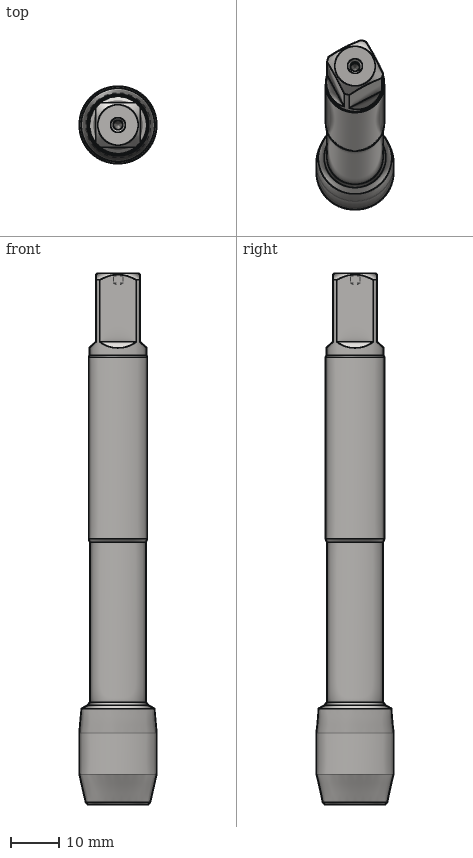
import cadquery as cq

length = 110.0

head_dia = 16.1
head_tip_dia = 13.4
head_top_dia = 15.2
head_height = 20.6
head_chamfer_bottom = 19.9
head_face_dia = 12.8
taper_height = 6.4
shoulder_height = 15.0
tip_chamfer = 0.5

neck_dia = 11.7
flare_height = 0.7

grip_dia = 12.2
grip_bottom = 54.3
grip_top = 93.0
grip_bottom_chamfer = 0.7
grip_top_chamfer = 0.3

drive_dia = 11.9
drive_width = 9.1
drive_length = 14.2
drive_flat_slope = 1.3
drive_end_dia = 8.4
drive_end_chamfer = 1.4

center_hole_dia = 3.1
center_bore_dia = 2.0
countersink_depth = 0.5
center_bore_depth = 2.0
center_point_depth = 2.6


def revolve_profile(points):
    """Revolve an outline of (diameter, height) points about the Z axis."""
    outline = [(diameter / 2, height) for diameter, height in points]
    return cq.Workplane("XZ").polyline(outline).close().revolve(360, (0, 0), (0, 1))


def make_head():
    """Barrel-like head, tapered at both ends, with a chamfered tip and a flat face under the neck."""
    return revolve_profile([
        (0, 0),
        (head_tip_dia - 2 * tip_chamfer, 0),
        (head_tip_dia, tip_chamfer),
        (head_dia, taper_height),
        (head_dia, shoulder_height),
        (head_top_dia, head_chamfer_bottom),
        (head_face_dia, head_height),
        (0, head_height),
    ])


def make_shank_blank():
    """Round shank: flared neck, gripping length and drive end."""
    return revolve_profile([
        (0, head_height),
        (head_face_dia, head_height),
        (neck_dia, head_height + flare_height),
        (neck_dia, grip_bottom),
        (grip_dia, grip_bottom + grip_bottom_chamfer),
        (grip_dia, grip_top - grip_top_chamfer),
        (drive_dia, grip_top),
        (drive_dia, length - drive_end_chamfer),
        (drive_end_dia, length),
        (0, length),
    ])


def make_flat_cutter():
    """Cutter for one drive flat with a sloped run-out at its lower end."""
    inner = drive_width / 2
    outer = drive_dia / 2
    flat_bottom = length - drive_length
    return (
        cq.Workplane("XZ")
        .polyline([
            (inner, length),
            (inner, flat_bottom),
            (outer, flat_bottom - drive_flat_slope),
            (outer, length),
        ])
        .close()
        .extrude(drive_dia / 2, both=True)
    )


def make_center_hole():
    """Countersunk blind hole with a conical bottom in the drive end."""
    return revolve_profile([
        (0, length),
        (center_hole_dia, length),
        (center_bore_dia, length - countersink_depth),
        (center_bore_dia, length - center_bore_depth),
        (0, length - center_point_depth),
    ])


def make_shank():
    """Shank with four drive flats and a centre hole."""
    shank = make_shank_blank()
    for angle in (0, 90, 180, 270):
        shank = shank.cut(make_flat_cutter().rotate((0, 0, 0), (0, 0, 1), angle))
    return shank.cut(make_center_hole())


head = make_head()
shank = make_shank()

result = cq.Compound.makeCompound([head.val(), shank.val()])